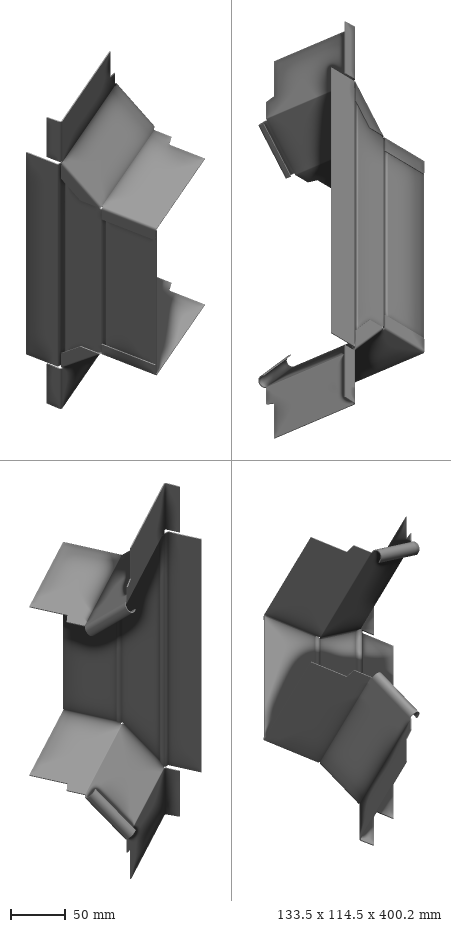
import cadquery as cq
import math


sheet = 1.0
crank_bend = 0.3
panel_bend = 0.1
flange_bend = 1.5

total_depth = 133.5
total_width = 114.45
half_height = 400.17 / 2

upright_x = 35.9
level_z = 102.3
crank_sum = 178.9
crank_start = (upright_x, crank_sum - upright_x)
crank_end = (crank_sum - level_z, level_z)
crank_length = math.dist(crank_start, crank_end)
crank_turn = 45.0
along_crank = (math.sqrt(0.5), 0, -math.sqrt(0.5))
into_crank = (-math.sqrt(0.5), 0, -math.sqrt(0.5))
rear_y = 108.2
low_rear_y = 98.8
rear_step_start = 17.5
rear_step_end = 20.0

flange_front_y = sheet
flange_width = 15.2
flange_root_y = flange_front_y + sheet + flange_bend
flange_end_taper = 0.8
upright_flange_gap = 1.3
level_flange_gap = 0.8
crank_flange_side_offset = 0.2
crank_flange_end_drop = 0.4

roll_radius = total_width - rear_y
roll_lip = 2.5
roll_setback = 1.2

panel_back_y = flange_front_y + sheet
panel_half_height = 140.8
panel_edge_gap = 0.3
panel_clearance = sheet + flange_bend + panel_edge_gap
exit_angle = 45.0
groove_radius = 2.2
first_groove_x = 32.0
first_groove_angle = 60.0
first_groove_depth = 4.4
second_groove_x = 76.0
second_groove_angle = 35.0
second_groove_depth = 1.5


def rise(radius, angle):
    """Distance an arc moves away from its starting tangent after turning by the angle in degrees."""
    return radius * (1 - math.cos(math.radians(angle)))


def offset_left(point, heading, distance):
    """Point moved to the left of a heading given in degrees; a negative distance moves it right."""
    angle = math.radians(heading)
    return point[0] - distance * math.sin(angle), point[1] + distance * math.cos(angle)


def bent_sheet(plane, start, heading, steps, width):
    """Extrude a folded sheet.

    The path follows the right-hand side of the sheet, whose thickness lies to its left.
    Each step is (straight length, turn in degrees with left positive, inside bend radius).
    """

    def across(point, angle):
        return point, offset_left(point, angle, sheet)

    stations = [(None, across(start, heading))]
    point = start
    for length, turn, inside_radius in steps:
        if length:
            point = offset_left(point, heading - 90, length)
            stations.append((None, across(point, heading)))
        if turn:
            reach = inside_radius + sheet if turn > 0 else -inside_radius
            centre = offset_left(point, heading, reach)
            half_way = heading + turn / 2
            heading += turn
            point = offset_left(centre, heading, -reach)
            middle = across(offset_left(centre, half_way, -reach), half_way)
            stations.append((middle, across(point, heading)))

    def trace(outline, side, middle, end):
        if middle:
            return outline.threePointArc(middle[side], end[side])
        return outline.lineTo(*end[side])

    outline = cq.Workplane(plane).moveTo(*start)
    for middle, end in stations[1:]:
        outline = trace(outline, 0, middle, end)
    outline = outline.lineTo(*stations[-1][1][1])
    for (_, end), (middle, _) in zip(stations[-2::-1], stations[:0:-1]):
        outline = trace(outline, 1, middle, end)
    return outline.close().extrude(width)


def groove(depth_in, depth_out, entry_angle):
    """Steps that dip from one flat to a round-bottomed groove and climb out to the next flat.

    The depths are those of the groove bottom below the flats before and after it.
    """
    rim_radius = sheet + panel_bend

    def slope(depth, angle):
        return (depth - rise(rim_radius + groove_radius, angle)) / math.sin(math.radians(angle))

    return [
        (slope(depth_in, entry_angle), -entry_angle - exit_angle, groove_radius),
        (slope(depth_out, exit_angle), exit_angle, panel_bend),
    ]


def groove_span(depth_in, depth_out, entry_angle):
    """Length along X from the start of a groove's first bend to the end of its last."""
    rim_radius = sheet + panel_bend

    def half(depth, angle):
        slope = (depth - rise(rim_radius + groove_radius, angle)) / math.tan(math.radians(angle))
        return slope + (rim_radius + groove_radius) * math.sin(math.radians(angle))

    return half(depth_in, entry_angle) + half(depth_out, exit_angle)


def prism(plane, points, length):
    """Extrude a straight-sided outline."""
    return cq.Workplane(plane).polyline(points).close().extrude(length)


def frame_plane(y):
    """Plane at depth y with local axes X and Z; negative extrusion goes towards +Y."""
    return cq.Plane(origin=(0, y, 0), xDir=(1, 0, 0), normal=(0, -1, 0))


def make_panel():
    """Flat front strip, deep groove, middle flat, shallow groove and rear flat in one sheet."""
    first = (first_groove_depth, first_groove_depth - panel_back_y, first_groove_angle)
    second = (second_groove_depth, second_groove_depth, second_groove_angle)
    first_end_x = first_groove_x + groove_span(*first)
    second_end_x = second_groove_x + groove_span(*second)
    steps = [
        (first_groove_x, first_groove_angle, panel_bend),
        *groove(*first),
        (second_groove_x - first_end_x, second_groove_angle, panel_bend),
        *groove(*second),
        (total_depth - second_end_x, 0, 0),
    ]
    plane = cq.Plane(origin=(0, 0, -panel_half_height), xDir=(1, 0, 0), normal=(0, 0, 1))
    panel = bent_sheet(plane, (0, 0), 0, steps, 2 * panel_half_height)

    panel_sum = crank_sum - panel_clearance * math.sqrt(2)
    rear_half_height = level_z - panel_clearance
    upper = [
        (0, panel_half_height),
        (panel_sum - panel_half_height, panel_half_height),
        (panel_sum - rear_half_height, rear_half_height),
        (total_depth, rear_half_height),
    ]
    lower = [(x, -z) for x, z in reversed(upper)]
    return panel.intersect(prism(frame_plane(0), upper + lower, -total_width))


def make_walls():
    """Level, 45 degree and upright walls bent from one strip, with the rear edge lowered at both ends."""
    setback = crank_bend * math.tan(math.radians(crank_turn / 2))
    steps = [
        (total_depth - crank_end[0] - setback, -crank_turn, crank_bend),
        (crank_length - 2 * setback, -crank_turn, crank_bend),
        (half_height - crank_start[1] - setback, 0, 0),
    ]
    walls = bent_sheet(frame_plane(flange_root_y), (total_depth, level_z), 180, steps, flange_root_y - rear_y)

    def rear_cut(plane, corner, end):
        points = [
            (corner + rear_step_start, rear_y),
            (corner + rear_step_end, low_rear_y),
            (end, low_rear_y),
            (end, rear_y),
        ]
        return prism(plane, points, half_height)

    level_plane = cq.Plane.XY()
    upright_plane = cq.Plane(origin=(half_height, 0, 0), xDir=(0, 0, 1), normal=(-1, 0, 0))
    walls = walls.cut(rear_cut(level_plane, crank_end[0], total_depth))
    return walls.cut(rear_cut(upright_plane, crank_start[1], half_height))


def edge_plane(point, inward, along):
    """Section plane of a wall: local x points inward from the outer face, local y is +Y."""
    return cq.Plane(origin=(point[0], 0, point[1]), xDir=inward, normal=along)


def make_flange(point, inward, along, length, trim):
    """Front flange along one wall, cut to the outline given in X and Z."""
    outside_radius = sheet + flange_bend
    steps = [(0, 90, flange_bend), (flange_width - outside_radius, 0, 0)]
    flange = bent_sheet(edge_plane(point, inward, along), (0, flange_root_y), -90, steps, length)
    return flange.intersect(prism(frame_plane(0), trim, -total_width))


def make_roll():
    """Half-round roll with a straight lip on the rear edge of the 45 degree wall."""
    length = crank_length - 2 * roll_setback
    shift = roll_setback * along_crank[0]
    point = (crank_start[0] + shift, crank_start[1] - shift)
    steps = [(0, -180, roll_radius - sheet), (roll_lip, 0, 0)]
    return bent_sheet(edge_plane(point, into_crank, along_crank), (sheet, rear_y), 90, steps, length)


def make_side_plate():
    """Upper side plate: three walls, a flange on each and the roll."""
    upright_start_z = crank_start[1] + upright_flange_gap
    upright_edge_x = upright_x - flange_width
    upright_trim = [
        (upright_x, upright_start_z),
        (upright_x, half_height),
        (upright_edge_x, half_height - flange_end_taper),
        (upright_edge_x, upright_start_z),
    ]
    crank_flange_min_x = upright_x - crank_flange_side_offset
    crank_flange_min_z = level_z - crank_flange_end_drop
    crank_trim = [
        (crank_flange_min_x, crank_flange_min_z),
        (crank_end[0], crank_flange_min_z),
        (crank_end[0], crank_start[1]),
        (crank_flange_min_x, crank_start[1]),
    ]
    level_start_x = crank_end[0] + level_flange_gap
    level_edge_z = level_z - flange_width
    level_trim = [
        (level_start_x, level_z),
        (total_depth, level_z),
        (total_depth - flange_end_taper, level_edge_z),
        (level_start_x, level_edge_z),
    ]
    upright_top = (upright_x, half_height)
    upright_length = half_height - crank_start[1]
    level_length = total_depth - crank_end[0]

    plate = make_walls()
    plate = plate.union(make_flange(upright_top, (-1, 0, 0), (0, 0, -1), upright_length, upright_trim))
    plate = plate.union(make_flange(crank_start, into_crank, along_crank, crank_length, crank_trim))
    plate = plate.union(make_flange(crank_end, (0, 0, -1), (1, 0, 0), level_length, level_trim))
    return plate.union(make_roll())


panel = make_panel()
upper_plate = make_side_plate()
side_plates = [upper_plate, upper_plate.mirror("XY")]
result = cq.Compound.makeCompound([panel.solids().val(), *[plate.solids().val() for plate in side_plates]])